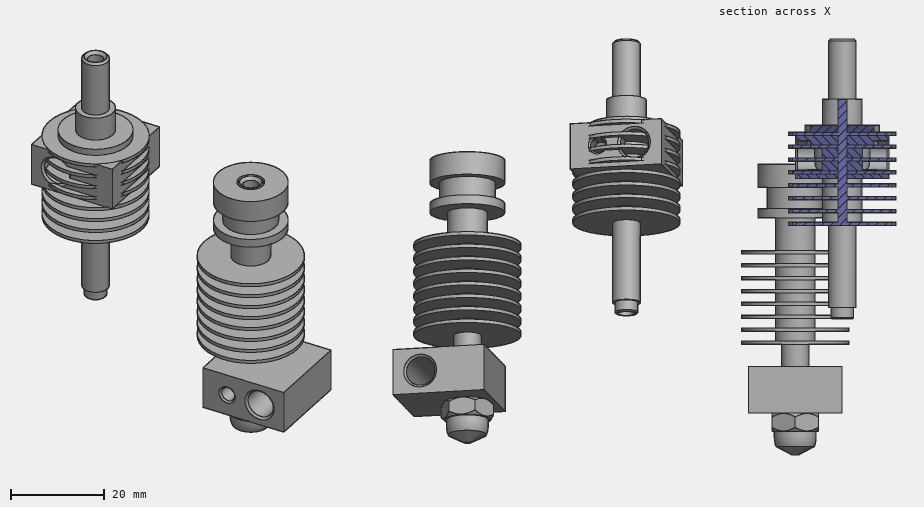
import cadquery as cq
import math

BORE = 3.5

FIN_DIAMETER = 23.0
FIN_COUNT = 8
FIN_THICKNESS = 0.75
FIN_STACK_HEIGHT = 20.0
FIN_PITCH = (FIN_STACK_HEIGHT - FIN_THICKNESS) / (FIN_COUNT - 1)
CORE_DIAMETER = 8.5
NECK_HEIGHT = 7.0
SINK_HEIGHT = FIN_STACK_HEIGHT + NECK_HEIGHT

FLANGE_DIAMETER = 16.0
GROOVE_DIAMETER = 12.0
LOWER_FLANGE_HEIGHT = 2.0
GROOVE_HEIGHT = 4.5
UPPER_FLANGE_HEIGHT = 5.0
MOUNT_HEIGHT = LOWER_FLANGE_HEIGHT + GROOVE_HEIGHT + UPPER_FLANGE_HEIGHT

TUBE_DIAMETER = 6.0
TUBE_RIM_DIAMETER = 5.0
COUNTERSINK_DIAMETER = 4.8
TUBE_CHAMFER = (TUBE_DIAMETER - TUBE_RIM_DIAMETER) / 2
COUNTERSINK_DEPTH = (COUNTERSINK_DIAMETER - BORE) / 2
TIP_DIAMETER = 4.9
TIP_LENGTH = 2.4
TIP_CHAMFER = 0.3

BLOCK_SIDE = 20.0
BLOCK_HEIGHT = 10.0
HOLE_OFFSET = 4.0
HEATER_DIAMETER = 6.2
HEATER_CHAMFER = 0.49
SENSOR_DIAMETER = 3.2
SENSOR_DEPTH = 4.0
SENSOR_CHAMFER = 0.4
NOZZLE_HOLE_DIAMETER = 5.0
NOZZLE_HOLE_CHAMFER = 0.6
DRILL_POINT_ANGLE = 118.0

HEX_ACROSS_FLATS = 10.0
HEX_HEIGHT = 3.9
HEX_FACE_DIAMETER = 9.8
COLLAR_DIAMETER = 9.0
COLLAR_HEIGHT = 1.4
DOME_HEIGHT = 1.9
TIP_CONE_HEIGHT = 1.8
NOZZLE_TIP_DIAMETER = 1.3
ORIFICE_DIAMETER = 0.4
NOZZLE_DROP = HEX_HEIGHT + COLLAR_HEIGHT + DOME_HEIGHT + TIP_CONE_HEIGHT

LEFT_TUBE_TOP = 89.0
LEFT_TUBE_LENGTH = 59.9
LEFT_SINK_TOP = 76.1
LEFT_BLOCK_TOP = LEFT_SINK_TOP - NECK_HEIGHT
LEFT_BLOCK_BOTTOM = LEFT_BLOCK_TOP - BLOCK_HEIGHT
RIGHT_X = 32.6
RIGHT_Y = 10.1
RIGHT_BLOCK_BOTTOM = NOZZLE_DROP
RIGHT_BLOCK_TOP = RIGHT_BLOCK_BOTTOM + BLOCK_HEIGHT
SINK_TO_BLOCK_GAP = 4.7
RIGHT_SINK_BOTTOM = RIGHT_BLOCK_TOP + SINK_TO_BLOCK_GAP
RIGHT_MOUNT_BOTTOM = RIGHT_SINK_BOTTOM + SINK_HEIGHT
RIGHT_MOUNT_TOP = RIGHT_MOUNT_BOTTOM + MOUNT_HEIGHT
RIGHT_TUBE_LENGTH = RIGHT_MOUNT_TOP - RIGHT_BLOCK_TOP + TIP_LENGTH


def cylinder(diameter, bottom, height):
    return cq.Workplane("XY").workplane(offset=bottom).circle(diameter / 2).extrude(height)


def revolved(points):
    """Solid of revolution about Z from (radius, height) points."""
    return cq.Workplane("XZ").polyline(points).close().revolve(360, (0, 0, 0), (0, 1, 0))


def drill_point_height(diameter):
    return diameter / 2 / math.tan(math.radians(DRILL_POINT_ANGLE / 2))


def tube_blank(length):
    """Outside of a tube without its bore, bottom of the tip at Z = 0."""
    tip_radius = TIP_DIAMETER / 2
    return revolved([
        (0, 0),
        (tip_radius - TIP_CHAMFER, 0),
        (tip_radius, TIP_CHAMFER),
        (tip_radius, TIP_LENGTH),
        (TUBE_DIAMETER / 2, TIP_LENGTH),
        (TUBE_DIAMETER / 2, length - TUBE_CHAMFER),
        (TUBE_RIM_DIAMETER / 2, length),
        (0, length),
    ])


def make_tube(length):
    bore = cylinder(BORE, 0, length)
    countersink = revolved([
        (0, length - COUNTERSINK_DEPTH),
        (BORE / 2, length - COUNTERSINK_DEPTH),
        (COUNTERSINK_DIAMETER / 2, length),
        (0, length),
    ])
    return tube_blank(length).cut(bore).cut(countersink)


def sink_blank():
    """Finned core without its bore, bottom of the lowest fin at Z = 0."""
    blank = cylinder(CORE_DIAMETER, 0, SINK_HEIGHT)
    for index in range(FIN_COUNT):
        blank = blank.union(cylinder(FIN_DIAMETER, index * FIN_PITCH, FIN_THICKNESS))
    return blank


def make_sink():
    return sink_blank().cut(cylinder(TUBE_DIAMETER, 0, SINK_HEIGHT))


def mount_blank():
    """Two flanges with a groove between them, without the bore, bottom at Z = 0."""
    upper_flange_bottom = LOWER_FLANGE_HEIGHT + GROOVE_HEIGHT
    lower_flange = cylinder(FLANGE_DIAMETER, 0, LOWER_FLANGE_HEIGHT)
    groove_core = cylinder(GROOVE_DIAMETER, 0, MOUNT_HEIGHT)
    upper_flange = cylinder(FLANGE_DIAMETER, upper_flange_bottom, UPPER_FLANGE_HEIGHT)
    return lower_flange.union(groove_core).union(upper_flange)


def make_mount():
    """Mount that fits round a tube ending flush with its top, in a countersunk mouth."""
    mouth = revolved([
        (0, MOUNT_HEIGHT - TUBE_CHAMFER),
        (TUBE_RIM_DIAMETER / 2, MOUNT_HEIGHT - TUBE_CHAMFER),
        (TUBE_DIAMETER / 2, MOUNT_HEIGHT),
        (0, MOUNT_HEIGHT),
    ])
    tube_space = tube_blank(RIGHT_TUBE_LENGTH).translate((0, 0, MOUNT_HEIGHT - RIGHT_TUBE_LENGTH))
    return mount_blank().cut(tube_space).cut(mouth)


def nozzle_hole():
    """Vertical hole through a block about Z, chamfered at both ends."""
    radius = NOZZLE_HOLE_DIAMETER / 2
    mouth_radius = radius + NOZZLE_HOLE_CHAMFER
    return revolved([
        (0, 0),
        (mouth_radius, 0),
        (radius, NOZZLE_HOLE_CHAMFER),
        (radius, BLOCK_HEIGHT - NOZZLE_HOLE_CHAMFER),
        (mouth_radius, BLOCK_HEIGHT),
        (0, BLOCK_HEIGHT),
    ])


def heater_hole():
    """Through hole along Y at X = Z = 0, chamfered at both ends."""
    radius = HEATER_DIAMETER / 2
    mouth_radius = radius + HEATER_CHAMFER
    half = BLOCK_SIDE / 2
    hole = revolved([
        (0, -half),
        (mouth_radius, -half),
        (radius, HEATER_CHAMFER - half),
        (radius, half - HEATER_CHAMFER),
        (mouth_radius, half),
        (0, half),
    ])
    return hole.rotate((0, 0, 0), (1, 0, 0), 90)


def sensor_hole():
    """Blind hole from the -Y face with a chamfered mouth and a drill point, at X = Z = 0."""
    radius = SENSOR_DIAMETER / 2
    hole = revolved([
        (0, 0),
        (radius + SENSOR_CHAMFER, 0),
        (radius, -SENSOR_CHAMFER),
        (radius, -SENSOR_DEPTH),
        (0, -SENSOR_DEPTH - drill_point_height(SENSOR_DIAMETER)),
    ])
    return hole.rotate((0, 0, 0), (1, 0, 0), 90).translate((0, -BLOCK_SIDE / 2, 0))


def make_block():
    """Heater block centred on Z with its bottom at Z = 0 and the heater hole towards +X."""
    middle = BLOCK_HEIGHT / 2
    block = cq.Workplane("XY").box(BLOCK_SIDE, BLOCK_SIDE, BLOCK_HEIGHT, centered=(True, True, False))
    block = block.cut(heater_hole().translate((HOLE_OFFSET, 0, middle)))
    block = block.cut(sensor_hole().translate((-HOLE_OFFSET, 0, middle)))
    return block.cut(nozzle_hole().translate((-HOLE_OFFSET, 0, 0)))


def nozzle_hexagon():
    """Hexagon head with its top at Z = 0 and the corners chamfered at 45 degrees at both ends."""
    corner_radius = HEX_ACROSS_FLATS / 2 / math.cos(math.pi / 6)
    face_radius = HEX_FACE_DIAMETER / 2
    chamfer = corner_radius - face_radius
    head = cq.Workplane("XY").polygon(6, 2 * corner_radius).extrude(-HEX_HEIGHT)
    envelope = revolved([
        (0, 0),
        (face_radius, 0),
        (corner_radius, -chamfer),
        (corner_radius, chamfer - HEX_HEIGHT),
        (face_radius, -HEX_HEIGHT),
        (0, -HEX_HEIGHT),
    ])
    return head.intersect(envelope)


def nozzle_nose():
    """Collar, dome of the collar's radius, and cone below the hexagon."""
    radius = COLLAR_DIAMETER / 2
    dome_top = -HEX_HEIGHT - COLLAR_HEIGHT
    dome_bottom = dome_top - DOME_HEIGHT
    dome_end_radius = math.sqrt(radius**2 - DOME_HEIGHT**2)
    half_height = DOME_HEIGHT / 2
    half_radius = math.sqrt(radius**2 - half_height**2)
    outline = (
        cq.Workplane("XZ")
        .moveTo(0, -HEX_HEIGHT)
        .lineTo(radius, -HEX_HEIGHT)
        .lineTo(radius, dome_top)
        .threePointArc((half_radius, dome_top - half_height), (dome_end_radius, dome_bottom))
        .lineTo(NOZZLE_TIP_DIAMETER / 2, -NOZZLE_DROP)
        .lineTo(0, -NOZZLE_DROP)
        .close()
    )
    return outline.revolve(360, (0, 0, 0), (0, 1, 0))


def nozzle_shank():
    """Shank that fills the block's nozzle hole up to the tip of the tube."""
    return cylinder(NOZZLE_HOLE_DIAMETER, 0, BLOCK_HEIGHT - TIP_LENGTH)


def make_nozzle():
    """Nozzle with its head's top at Z = 0."""
    shank_top = BLOCK_HEIGHT - TIP_LENGTH
    bore_bottom = -HEX_HEIGHT - COLLAR_HEIGHT
    bore = revolved([
        (0, bore_bottom - drill_point_height(BORE)),
        (BORE / 2, bore_bottom),
        (BORE / 2, shank_top),
        (0, shank_top),
    ])
    orifice = cylinder(ORIFICE_DIAMETER, -NOZZLE_DROP, NOZZLE_DROP)
    return nozzle_shank().union(nozzle_hexagon()).union(nozzle_nose()).cut(bore).cut(orifice)


left_sink = make_sink().translate((0, 0, LEFT_SINK_TOP - SINK_HEIGHT))

turned_block = make_block().rotate((0, 0, 0), (0, 0, 1), 180)
hub = mount_blank().intersect(cylinder(FLANGE_DIAMETER, 0, BLOCK_HEIGHT))
left_sink_space = sink_blank().translate((0, 0, BLOCK_HEIGHT - FIN_STACK_HEIGHT))
left_block = turned_block.union(hub).cut(left_sink_space).translate((0, 0, LEFT_BLOCK_BOTTOM))

collar_height = MOUNT_HEIGHT - BLOCK_HEIGHT
left_collar = cylinder(FLANGE_DIAMETER, LEFT_BLOCK_TOP, collar_height).cut(
    cylinder(CORE_DIAMETER, LEFT_BLOCK_TOP, collar_height)
)

plug = cylinder(BORE, 0, BLOCK_HEIGHT).cut(nozzle_hole().translate((HOLE_OFFSET, 0, 0)))
left_tube = (
    make_tube(LEFT_TUBE_LENGTH)
    .translate((0, 0, LEFT_TUBE_TOP - LEFT_TUBE_LENGTH))
    .union(plug.translate((0, 0, LEFT_BLOCK_BOTTOM)))
)

right_tube_bottom = RIGHT_MOUNT_TOP - RIGHT_TUBE_LENGTH
right_nozzle = make_nozzle().translate((RIGHT_X, RIGHT_Y, NOZZLE_DROP))
right_block = make_block().translate((RIGHT_X + HOLE_OFFSET, RIGHT_Y, RIGHT_BLOCK_BOTTOM))
right_tube = make_tube(RIGHT_TUBE_LENGTH).translate((RIGHT_X, RIGHT_Y, right_tube_bottom))
right_sink = make_sink().translate((RIGHT_X, RIGHT_Y, RIGHT_SINK_BOTTOM))
right_mount = make_mount().translate((RIGHT_X, RIGHT_Y, RIGHT_MOUNT_BOTTOM))

result = cq.Compound.makeCompound([
    left_sink.val(),
    left_block.val(),
    left_collar.val(),
    left_tube.val(),
    right_nozzle.val(),
    right_block.val(),
    right_tube.val(),
    right_sink.val(),
    right_mount.val(),
])